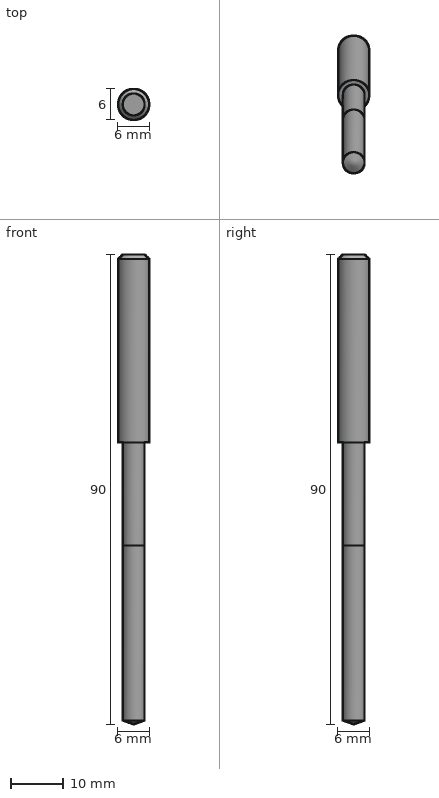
import cadquery as cq
import math

TOTAL_LENGTH = 90.0

SHANK_DIAMETER = 6.0
SHANK_LENGTH = 36.0
SHANK_CHAMFER = 0.9

CUTTING_DIAMETER = 4.2
CUTTING_LENGTH = 34.3
POINT_ANGLE = 140.0

shank_radius = SHANK_DIAMETER / 2
cutting_radius = CUTTING_DIAMETER / 2
point_height = cutting_radius / math.tan(math.radians(POINT_ANGLE / 2))
shank_bottom = TOTAL_LENGTH - SHANK_LENGTH


def make_cutting_part():
    """Cylindrical cutting envelope ending in a conical drill point."""
    half_profile = [
        (0, 0),
        (cutting_radius, point_height),
        (cutting_radius, CUTTING_LENGTH),
        (0, CUTTING_LENGTH),
    ]
    return cq.Workplane("XZ").polyline(half_profile).close().revolve(360, (0, 0), (0, 1))


def make_holder():
    """Neck resting on the cutting part, stepping out to the chamfered shank."""
    neck = (
        cq.Workplane("XY")
        .workplane(offset=CUTTING_LENGTH)
        .circle(cutting_radius)
        .extrude(shank_bottom - CUTTING_LENGTH)
    )
    shank = (
        cq.Workplane("XY")
        .workplane(offset=shank_bottom)
        .circle(shank_radius)
        .extrude(SHANK_LENGTH)
        .faces(">Z")
        .chamfer(SHANK_CHAMFER)
    )
    return neck.union(shank)


cutting_part = make_cutting_part()
holder = make_holder()

result = cq.Compound.makeCompound([cutting_part.val(), holder.val()])